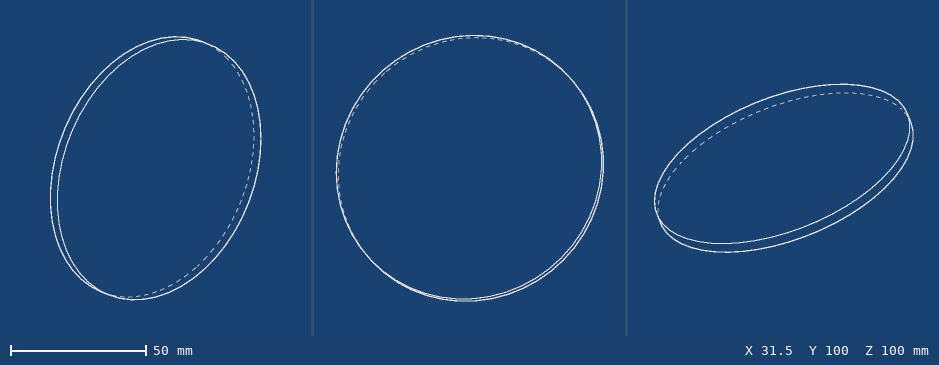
import cadquery as cq

diameter = 100.0
center_thickness = 31.52
edge_thickness = 4.0

rim_radius = diameter / 2
half_center = center_thickness / 2
half_edge = edge_thickness / 2
sagitta = half_center - half_edge
surface_radius = (rim_radius**2 + sagitta**2) / (2 * sagitta)


def surface_point(height):
    """Return (x, height) on the +X spherical surface at a distance from the axis."""
    sphere_center = half_center - surface_radius
    return sphere_center + (surface_radius**2 - height**2) ** 0.5, height


def make_lens():
    """Revolve the half profile, two arcs joined by the cylindrical rim, about X."""
    mid_x, mid_height = surface_point(rim_radius / 2)
    profile = (
        cq.Workplane("XY")
        .moveTo(-half_center, 0)
        .threePointArc((-mid_x, mid_height), (-half_edge, rim_radius))
        .lineTo(half_edge, rim_radius)
        .threePointArc((mid_x, mid_height), (half_center, 0))
        .close()
    )
    return profile.revolve(360, (0, 0, 0), (1, 0, 0))


result = make_lens()